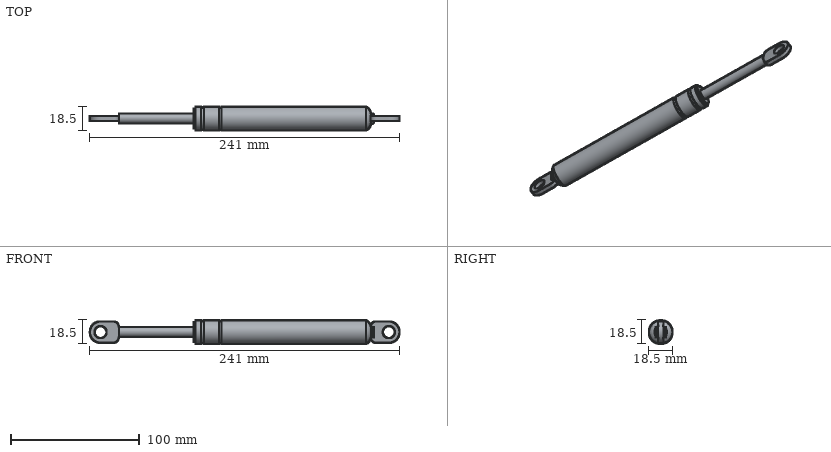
import cadquery as cq
import math

total_length = 241.0

eye_length = 22.7
eye_height = 16.9
eye_thickness = 4.0
eye_hole_diameter = 9.2
eye_corner_radius = 4.3

rod_radius = 8.0 / 2
rod_end = 80.7

barrel_radius = 18.5 / 2
collar_radius = 15.7 / 2
collar_length = 1.5
barrel_start = rod_end + collar_length
barrel_end = 214.7

shoulder_end = 218.5
shoulder_end_radius = 4.8
shoulder_bulge = 0.7

groove_width = 2.2
groove_depth = 0.7
groove_centers = (87.7, 101.5)

stub_width = 8.2
stub_bevel = 1.0
stub_end = 221.0


def make_eye():
    """Eye plate with its round tip at X = 0 and its square end at X = eye_length."""
    tip_radius = eye_height / 2
    plate = (
        cq.Workplane("XZ")
        .moveTo(tip_radius, tip_radius)
        .lineTo(eye_length, tip_radius)
        .lineTo(eye_length, -tip_radius)
        .lineTo(tip_radius, -tip_radius)
        .threePointArc((0, 0), (tip_radius, tip_radius))
        .close()
        .extrude(eye_thickness / 2, both=True)
    )
    plate = plate.edges("|Y and >X").fillet(eye_corner_radius)
    hole = (
        cq.Workplane("XZ")
        .center(tip_radius, 0)
        .circle(eye_hole_diameter / 2)
        .extrude(eye_thickness, both=True)
    )
    return plate.cut(hole)


def make_rod_section(start, end, radius):
    """Round bar along the X axis between two stations."""
    return cq.Workplane("YZ", origin=(start, 0, 0)).circle(radius).extrude(end - start)


def make_groove(center):
    """Ring with a circular-arc bottom that cuts one groove into the barrel."""
    half_width = groove_width / 2
    arc_radius = (half_width**2 + groove_depth**2) / (2 * groove_depth)
    ring_radius = barrel_radius - groove_depth + arc_radius
    return cq.Workplane(cq.Solid.makeTorus(
        ring_radius, arc_radius, cq.Vector(center, 0, 0), cq.Vector(1, 0, 0)
    ))


def make_barrel():
    """Revolved barrel with a front collar and a rounded rear shoulder."""
    shoulder_length = shoulder_end - barrel_end
    shoulder_drop = barrel_radius - shoulder_end_radius
    slope_length = math.hypot(shoulder_length, shoulder_drop)
    shoulder_middle = (
        (barrel_end + shoulder_end) / 2 + shoulder_bulge * shoulder_drop / slope_length,
        (barrel_radius + shoulder_end_radius) / 2 + shoulder_bulge * shoulder_length / slope_length,
    )
    barrel = (
        cq.Workplane("XY")
        .moveTo(rod_end, 0)
        .lineTo(rod_end, collar_radius)
        .lineTo(barrel_start, collar_radius)
        .lineTo(barrel_start, barrel_radius)
        .lineTo(barrel_end, barrel_radius)
        .threePointArc(shoulder_middle, (shoulder_end, shoulder_end_radius))
        .lineTo(shoulder_end, 0)
        .close()
        .revolve(360, (0, 0, 0), (1, 0, 0))
    )
    for center in groove_centers:
        barrel = barrel.cut(make_groove(center))
    return barrel


def make_stub():
    """Square block behind the barrel with its rear vertical edges bevelled."""
    stub = (
        cq.Workplane("YZ", origin=(shoulder_end, 0, 0))
        .rect(stub_width, stub_width)
        .extrude(stub_end - shoulder_end)
    )
    return stub.edges("|Z and >X").chamfer(stub_bevel)


def make_piston_rod():
    """Front eye and the rod as one solid."""
    return make_eye().union(make_rod_section(eye_length, rod_end, rod_radius))


def make_cylinder():
    """Barrel, rear stub and rear eye as one solid."""
    stub = make_stub()
    rear_eye = make_eye().mirror("YZ").translate((total_length, 0, 0))
    return make_barrel().union(stub).union(rear_eye)


piston_rod = make_piston_rod()
cylinder = make_cylinder()

result = cq.Compound.makeCompound([piston_rod.val(), cylinder.val()])